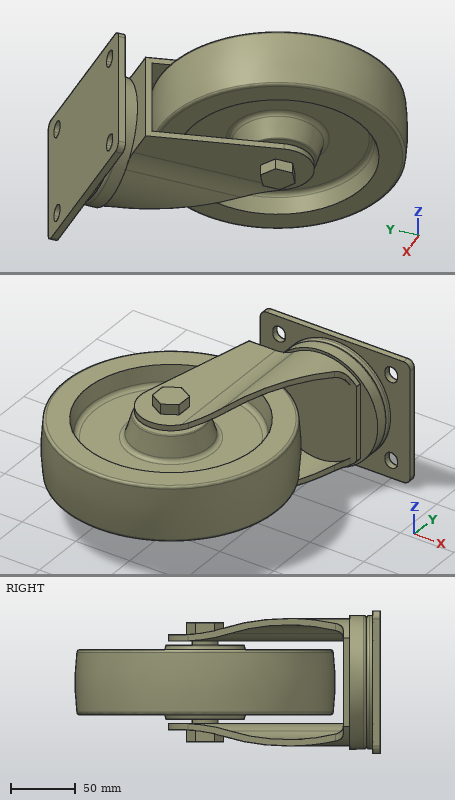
import cadquery as cq
import math


wheel_radius = 100.0
tread_edge_radius = 98.4
tread_half_width = 25.1
tread_edge_round = 2.3
recess_rim_radius = 78.0
recess_floor_radius = 74.0
recess_depth = 17.0
recess_round = 4.5
hub_top_radius = 30.0
hub_foot_radius = 36.5
hub_half_width = 28.6
hub_top_round = 1.0
hub_foot_round = 4.5
floor_tolerance = 0.2

overall_height = 234.8
plate_top = overall_height - wheel_radius
plate_thickness = 5.9
plate_length = 139.2
plate_width = 110.0
plate_corner_radius = 6.0
plate_bottom = plate_top - plate_thickness
swivel_x = plate_top - plate_length / 2
slot_width = 11.5
slot_length = 13.9
slot_spacing_x = 104.3
slot_spacing_z = 78.0

bearing_diameter = 103.0
bearing_bottom = 111.3
bearing_seam = 124.2
seam_round = 2.3

sheet = 5.0
leg_outer_z = 36.6
bulge_radius = 49.0
bend_start_x = 21.8
axle_end_radius = 28.2
fork_left_x = -2.8
fork_right_x = 100.5
lip_corner_x = 87.3
lip_round = 11.3
fork_lip_y = bearing_bottom - sheet

axle_diameter = 20.0
head_across_flats = 25.0
head_height = 9.2


def ring(bottom, top):
    """Disc about the swivel axis between two Y levels."""
    disc = cq.Workplane("XZ", origin=(swivel_x, top, 0)).circle(bearing_diameter / 2)
    return disc.extrude(top - bottom)


def make_wheel():
    floor_z = tread_half_width - recess_depth
    wheel = (
        cq.Workplane("XZ")
        .moveTo(0, -tread_half_width)
        .lineTo(tread_edge_radius, -tread_half_width)
        .threePointArc((wheel_radius, 0), (tread_edge_radius, tread_half_width))
        .lineTo(0, tread_half_width)
        .close()
        .revolve(360, (0, 0, 0), (0, 1, 0))
        .faces("<Z or >Z").edges().fillet(tread_edge_round)
    )
    for side in (1, -1):
        pocket = (
            cq.Workplane("XZ")
            .moveTo(0, side * floor_z)
            .lineTo(recess_floor_radius, side * floor_z)
            .lineTo(recess_rim_radius, side * tread_half_width)
            .lineTo(0, side * tread_half_width)
            .close()
            .revolve(360, (0, 0, 0), (0, 1, 0))
            .edges(cq.selectors.NearestToPointSelector((0, 0, side * floor_z))).fillet(recess_round)
        )
        wheel = wheel.cut(pocket)
    hub = (
        cq.Workplane("XZ")
        .moveTo(0, -hub_half_width)
        .lineTo(hub_top_radius, -hub_half_width)
        .lineTo(hub_foot_radius, -floor_z)
        .lineTo(hub_foot_radius, floor_z)
        .lineTo(hub_top_radius, hub_half_width)
        .lineTo(0, hub_half_width)
        .close()
        .revolve(360, (0, 0, 0), (0, 1, 0))
        .faces("<Z or >Z").edges().fillet(hub_top_round)
    )
    wheel = wheel.union(hub)
    for side in (1, -1):
        on_floor = cq.selectors.BoxSelector(
            (-wheel_radius, -wheel_radius, side * floor_z - floor_tolerance),
            (wheel_radius, wheel_radius, side * floor_z + floor_tolerance),
        )
        foot = wheel.edges(on_floor).edges("%CIRCLE").edges(cq.selectors.RadiusNthSelector(0))
        wheel = foot.fillet(hub_foot_round)
    return wheel


def make_mounting_plate():
    plate = (
        cq.Workplane("XZ", origin=(swivel_x, plate_top, 0))
        .rect(plate_length, plate_width)
        .extrude(plate_thickness)
        .edges("|Y").fillet(plate_corner_radius)
    )
    slots = (
        cq.Workplane("XZ", origin=(swivel_x, plate_top, 0))
        .rarray(slot_spacing_x, slot_spacing_z, 2, 2)
        .slot2D(slot_length, slot_width, 90)
        .extrude(plate_thickness)
    )
    return plate.cut(slots)


def make_bearing():
    upper = ring(bearing_seam, plate_bottom).faces("<Y").edges().fillet(seam_round)
    lower = ring(bearing_bottom, bearing_seam).faces(">Y").edges().fillet(seam_round)
    return upper.union(lower)


def tangent_point(x, y, side):
    """Where the line from (x, y) touches the round axle end; side is +1 for the right edge."""
    angle = math.atan2(y, x) - side * math.acos(axle_end_radius / math.hypot(x, y))
    return axle_end_radius * math.cos(angle), axle_end_radius * math.sin(angle)


def fork_side_outline():
    """Tapered leg shape, as a block through the full fork width."""
    block = (
        cq.Workplane("XY", origin=(0, 0, -bulge_radius))
        .moveTo(*tangent_point(fork_left_x, bearing_bottom, -1))
        .lineTo(fork_left_x, bearing_bottom)
        .lineTo(fork_right_x, bearing_bottom)
        .lineTo(fork_right_x, fork_lip_y)
        .lineTo(lip_corner_x, fork_lip_y)
        .lineTo(*tangent_point(lip_corner_x, fork_lip_y, 1))
        .threePointArc((0, -axle_end_radius), tangent_point(fork_left_x, bearing_bottom, -1))
        .close()
        .extrude(2 * bulge_radius)
    )
    lip_corner = cq.selectors.NearestToPointSelector((lip_corner_x, fork_lip_y, 0))
    return block.edges(lip_corner).fillet(lip_round)


def fork_section(inset, bottom):
    """Solid bounded by both legs, inset from their outer skin, from the given Y up to the bearing."""
    leg_z = leg_outer_z - inset
    outer = bulge_radius - inset
    run = swivel_x - bend_start_x
    bend = (run**2 + leg_outer_z**2 - bulge_radius**2) / (2 * (bulge_radius - leg_outer_z)) + inset
    center_z = leg_z + bend
    tilt = math.atan2(run, center_z)
    bend_end = (bend_start_x + bend * math.sin(tilt), center_z - bend * math.cos(tilt))
    bend_mid = (bend_start_x + bend * math.sin(tilt / 2), center_z - bend * math.cos(tilt / 2))
    right_z = math.sqrt(outer**2 - (fork_right_x - swivel_x) ** 2)
    left_x = -axle_end_radius

    def mirrored(point):
        return point[0], -point[1]

    return (
        cq.Workplane("XZ", origin=(0, bearing_bottom, 0))
        .moveTo(left_x, leg_z)
        .lineTo(bend_start_x, leg_z)
        .threePointArc(bend_mid, bend_end)
        .threePointArc((swivel_x, outer), (fork_right_x, right_z))
        .lineTo(fork_right_x, -right_z)
        .threePointArc((swivel_x, -outer), mirrored(bend_end))
        .threePointArc(mirrored(bend_mid), (bend_start_x, -leg_z))
        .lineTo(left_x, -leg_z)
        .close()
        .extrude(bearing_bottom - bottom)
    )


def make_fork():
    skin = fork_section(0, -axle_end_radius)
    opening = fork_section(sheet, -axle_end_radius)
    crown = fork_section(0, fork_lip_y)
    return skin.cut(opening).union(crown).intersect(fork_side_outline())


def make_axle():
    head_diameter = head_across_flats / math.cos(math.pi / 6)
    axle = cq.Workplane("XY").circle(axle_diameter / 2).extrude(leg_outer_z, both=True)
    head = (
        cq.Workplane("XY", origin=(0, 0, leg_outer_z))
        .transformed(rotate=(0, 0, 90))
        .polygon(6, head_diameter)
        .extrude(head_height)
    )
    return axle.union(head).union(head.mirror("XY"))


result = (
    make_mounting_plate()
    .union(make_bearing())
    .union(make_fork())
    .union(make_axle())
    .union(make_wheel())
)